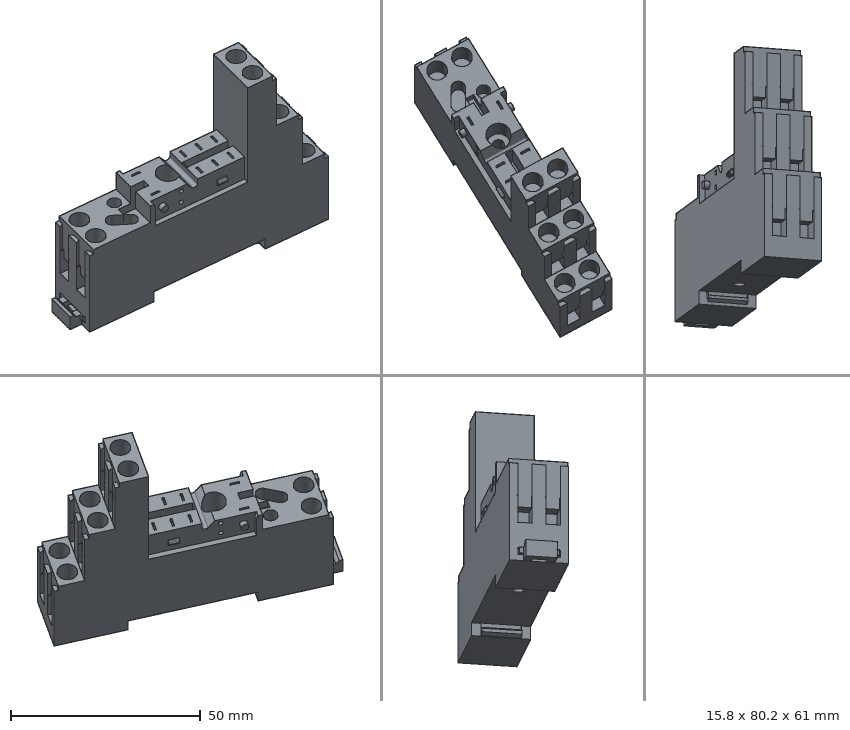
import cadquery as cq
import math


width = 15.8
housing_length = 76.5
total_height = 61.0
tier_rise = 18.4
tier_run = 8.3
ledge_depth = 1.2
ledge_drop = 1.6
tower_front_y = 50.6
deck_z = 29.0
block_front_y = 19.4
block_z = 35.0

front_row = (0, deck_z, 1)
rear_rows = [
    (housing_length - i * tier_run, total_height - (2 - i) * tier_rise, -1) for i in range(3)
]
terminal_rows = [front_row] + rear_rows

pole_x = 3.8
screw_diameter = 5.4
screw_depth = 8.0
screw_inset = 4.8
guide_width = 3.85
guide_height = 16.7
undercut = 0.65
undercut_height = 8.9
entry_height = 4.8
entry_depth = 4.8

recess_half_gap = 6.4
recess_front_y = 21.1
recess_lip_y = 20.6
recess_lip_drop = 2.0
recess_lip_radius = 4.4
recess_floor_z = 27.1
flank_depth = width / 2 - recess_half_gap

groove_rear_y = 35.6
groove_bottom = (34.7, 32.55)
groove_arc_top_z = 33.35
groove_slope_start = (33.9, 32.8)
groove_front_y = 32.1

keyway_width = 2.25
keyway_floor_z = 26.45
keyway_rear_end_y = 36.0
keyway_front_start_y = 15.5
keyway_front_end_y = 23.6

mount_y = 30.45
mount_diameter = 3.2
mount_head_diameter = 6.5
mount_head_floor_z = recess_floor_z

blade_length = 2.5
blade_thickness = 0.6
blade_depth = 4.8
contact_first_y = 38.0
contact_pitch = 5.0
coil_x = 4.5
coil_y = 23.4

peg_diameter = 2.2
peg_y = 24.2
peg_z = 31.4
dimple_diameter = 1.3
dimple_depth = 1.2
dimple_y = 30.4
dimple_heights = [29.5, 33.4]

tab_y = 43.3
tab_length = 3.05
tab_reach = 0.8
tab_bottom_z = 29.3
tab_top_z = 31.3
tab_flat_bottom_z = 30.0
tab_flat_top_z = 30.3

indicator_x = 3.85
indicator_y = 16.0
indicator_diameter = 3.8
indicator_depth = 6.4
selector_travel = 4.9
selector_angle = 60

rail_front_y = 20.6
rail_rear_y = 56.2
rail_recess_z = 3.6
hook_half_width = 5.4
pad = 0.25
hook_reach = 1.5
hook_shoulder = 0.7
hook_top_z = 2.25
hook_tip_top_z = 1.7
hook_tip_bottom_z = 0.7
hook_bottom_z = 0.2

clearance = 0.3
tongue_half_width = 5.4
tongue_bottom_z = 2.0
tongue_front_y = -0.5
handle_width = 8.4
handle_front_y = -3.7
handle_ridge_y = -2.65
handle_slope_y = -1.7
handle_z = 4.6
window_half_width = 2.1
window_rear_y = 1.2
nose_reach = 1.0
nose_top_z = 2.4
nose_corner_z = 1.6
nose_bottom_z = 0.9


def box(x0, x1, y0, y1, z0, z1):
    """Axis-aligned box between two opposite corners."""
    return cq.Workplane("XY").box(x1 - x0, y1 - y0, z1 - z0, centered=False).translate((x0, y0, z0))


def bore(x, y, z_top, diameter, depth):
    """Vertical cylinder going down from z_top."""
    return cq.Workplane("XY", origin=(x, y, z_top)).circle(diameter / 2).extrude(-depth)


def side_prism(points, half_width):
    """Prism of a (Y, Z) outline, centred on the YZ plane."""
    return cq.Workplane("YZ").polyline(points).close().extrude(half_width, both=True)


def housing_blank():
    """Stepped side outline with the rail recess, extruded across the width."""
    points = [
        (0, 0),
        (0, deck_z - ledge_drop),
        (ledge_depth, deck_z - ledge_drop),
        (ledge_depth, deck_z),
        (block_front_y, deck_z),
        (block_front_y, block_z),
        (tower_front_y, block_z),
        (tower_front_y, total_height),
    ]
    for wall_y, top_z, _ in reversed(rear_rows):
        points += [
            (wall_y - ledge_depth, top_z),
            (wall_y - ledge_depth, top_z - ledge_drop),
            (wall_y, top_z - ledge_drop),
            (wall_y, top_z - tier_rise),
        ]
    points[-1] = (housing_length, 0)
    points += [
        (rail_rear_y, 0),
        (rail_rear_y, rail_recess_z),
        (rail_front_y, rail_recess_z),
        (rail_front_y, 0),
    ]
    return side_prism(points, width / 2)


def terminal(x, wall_y, top_z, inward):
    """Screw hole, undercut wire guide and wire entry of one terminal."""
    def guide_box(depth, z0, z1):
        y0, y1 = sorted([wall_y, wall_y + inward * depth])
        return box(x - guide_width / 2, x + guide_width / 2, y0, y1, z0, z1)

    guide_top = top_z - ledge_drop
    guide_bottom = guide_top - guide_height
    back_y = wall_y + inward * ledge_depth
    mouth = guide_width / 2
    back = mouth + undercut
    dovetail = (
        cq.Workplane("XY", origin=(x, 0, guide_top))
        .polyline([(-mouth, wall_y), (mouth, wall_y), (back, back_y), (-back, back_y)])
        .close()
        .extrude(-undercut_height)
    )
    screw = bore(x, wall_y + inward * screw_inset, top_z, screw_diameter, screw_depth)
    guide = guide_box(ledge_depth, guide_bottom, guide_top)
    entry = guide_box(entry_depth, guide_bottom, guide_bottom + entry_height)
    return screw.union(guide).union(dovetail).union(entry)


def side_recess():
    """Recess on the -X flank of the relay block; its front wall curves forward at the top."""
    return (
        cq.Workplane("YZ", origin=(-width / 2, 0, 0))
        .moveTo(tower_front_y, block_z)
        .lineTo(tower_front_y, recess_floor_z)
        .lineTo(recess_front_y, recess_floor_z)
        .lineTo(recess_front_y, block_z - recess_lip_drop)
        .radiusArc((recess_lip_y, block_z), -recess_lip_radius)
        .close()
        .extrude(flank_depth)
    )


def cross_groove():
    """Groove across the relay block: upright rear wall, round bottom, sloping front."""
    return (
        cq.Workplane("YZ")
        .moveTo(groove_rear_y, block_z)
        .lineTo(groove_rear_y, groove_arc_top_z)
        .threePointArc(groove_bottom, groove_slope_start)
        .lineTo(groove_front_y, block_z)
        .close()
        .extrude(width / 2, both=True)
    )


def keyways():
    """Two slots on the centre plane of the relay block."""
    half = keyway_width / 2
    rear = box(-half, half, keyway_rear_end_y, tower_front_y, keyway_floor_z, block_z)
    front = box(-half, half, keyway_front_start_y, keyway_front_end_y, keyway_floor_z, block_z)
    return rear.union(front)


def mounting_hole():
    """Through hole with a counterbore for the screw head."""
    head = bore(0, mount_y, block_z, mount_head_diameter, block_z - mount_head_floor_z)
    return head.union(bore(0, mount_y, block_z, mount_diameter, block_z))


def blade_slots():
    """Six contact slots along X and two coil slots along Y."""
    contact_rows = [contact_first_y + i * contact_pitch for i in range(3)]
    contacts = [(side * pole_x, y) for side in (-1, 1) for y in contact_rows]
    coils = [(side * coil_x, coil_y) for side in (-1, 1)]
    top = cq.Workplane("XY", origin=(0, 0, block_z))
    contact_slots = top.pushPoints(contacts).rect(blade_length, blade_thickness).extrude(-blade_depth)
    coil_slots = top.pushPoints(coils).rect(blade_thickness, blade_length).extrude(-blade_depth)
    return contact_slots.union(coil_slots)


def flank_dimples():
    """Small blind holes in the -X flank of the relay block."""
    return (
        cq.Workplane("YZ", origin=(-recess_half_gap, 0, 0))
        .pushPoints([(dimple_y, z) for z in dimple_heights])
        .circle(dimple_diameter / 2)
        .extrude(dimple_depth)
    )


def flank_peg():
    """Round peg on the -X flank, ending flush with the side of the housing."""
    return (
        cq.Workplane("YZ", origin=(-width / 2, peg_y, peg_z)).circle(peg_diameter / 2).extrude(flank_depth)
    )


def flank_tab():
    """Snap tab on the -X flank with sloping top and bottom."""
    outer_x = -recess_half_gap - tab_reach
    return (
        cq.Workplane("XZ", origin=(0, tab_y, 0))
        .polyline([
            (-recess_half_gap, tab_bottom_z),
            (outer_x, tab_flat_bottom_z),
            (outer_x, tab_flat_top_z),
            (-recess_half_gap, tab_top_z),
        ])
        .close()
        .extrude(tab_length / 2, both=True)
    )


def deck_openings():
    """Round indicator hole and slanted selector slot in the front deck."""
    hole = bore(-indicator_x, indicator_y, deck_z, indicator_diameter, indicator_depth)
    angle = math.radians(selector_angle)
    selector_x = indicator_x - selector_travel / 2 * math.cos(angle)
    selector_y = indicator_y - selector_travel / 2 * math.sin(angle)
    slot = (
        cq.Workplane("XY", origin=(selector_x, selector_y, deck_z))
        .slot2D(selector_travel + indicator_diameter, indicator_diameter, selector_angle)
        .extrude(-indicator_depth)
    )
    return hole.union(slot)


def rail_hook():
    """Fixed hook at the rear end of the rail recess."""
    tip_y = rail_rear_y - hook_reach
    points = [
        (rail_rear_y, rail_recess_z),
        (rail_rear_y - pad, rail_recess_z),
        (rail_rear_y - pad, hook_top_z),
        (rail_rear_y - hook_shoulder, hook_top_z),
        (tip_y, hook_tip_top_z),
        (tip_y, hook_tip_bottom_z),
        (rail_rear_y, hook_bottom_z),
    ]
    return side_prism(points, hook_half_width)


def latch_channel():
    """Channel in which the latch tongue slides, from the front wall to the rail recess."""
    half = tongue_half_width + clearance
    return box(-half, half, 0, rail_front_y, tongue_bottom_z - clearance, rail_recess_z)


def make_housing():
    """Terminal housing with the relay block, openings, flank details and rail hook."""
    body = housing_blank()
    for row in terminal_rows:
        for side in (-1, 1):
            body = body.cut(terminal(side * pole_x, *row))

    for cutter in (side_recess(), flank_dimples()):
        body = body.cut(cutter).cut(cutter.mirror("YZ"))
    for cutter in (cross_groove(), keyways(), mounting_hole(), blade_slots()):
        body = body.cut(cutter)
    body = body.cut(deck_openings()).cut(latch_channel())
    for boss in (flank_peg(), flank_tab()):
        body = body.union(boss).union(boss.mirror("YZ"))
    return body.union(rail_hook())


def make_latch():
    """Flat tongue with a windowed pull handle in front and a rail nose behind."""
    tongue = box(
        -tongue_half_width, tongue_half_width,
        tongue_front_y, rail_front_y,
        tongue_bottom_z, rail_recess_z,
    )
    handle = side_prism(
        [
            (0, 0),
            (handle_front_y, 0),
            (handle_front_y, handle_z),
            (handle_ridge_y, handle_z),
            (handle_slope_y, rail_recess_z),
            (0, rail_recess_z),
        ],
        handle_width / 2,
    )
    tip_y = rail_front_y + nose_reach
    nose = side_prism(
        [
            (rail_front_y, rail_recess_z),
            (rail_front_y + pad, rail_recess_z),
            (rail_front_y + pad, nose_top_z),
            (tip_y, nose_top_z),
            (tip_y, nose_corner_z),
            (rail_front_y, nose_bottom_z),
        ],
        tongue_half_width,
    )
    window = box(-window_half_width, window_half_width, handle_slope_y, window_rear_y, 0, rail_recess_z)
    return tongue.union(handle).union(nose).cut(window)


housing = make_housing()
latch = make_latch()

result = cq.Compound.makeCompound([housing.solids().val(), latch.solids().val()])